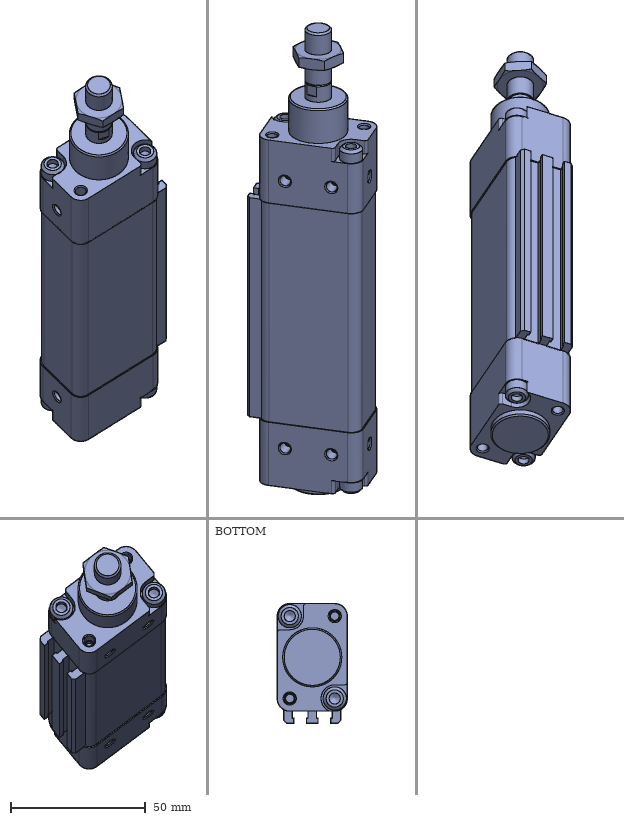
import cadquery as cq
import math


OVERALL_LENGTH = 187.5

CAP_WIDTH = 26.0
CAP_DEPTH = 40.0
CAP_HEIGHT = 26.0
CAP_CORNER_RADIUS = 4.7
TUBE_INSET = 0.47
TUBE_LENGTH = 90.4
BOSS_DIAMETER = 22.0
BOSS_CHAMFER = 0.5
REAR_BOSS_HEIGHT = 2.6
COLLAR_HEIGHT = 14.0

HEAD_DIAMETER = 8.6
HEAD_HEIGHT = 5.0
HEAD_CHAMFER = 1.1
SOCKET_DIAMETER = 4.1
SOCKET_DEPTH = 2.5
SOCKET_POINT_ANGLE = 118.0
NOTCH_RADIUS = 5.0
NOTCH_DEPTH = 5.5
NOTCH_EDGE_FILLET = 1.1

MOUNT_HOLE_DIAMETER = 4.0
PORT_DIAMETER = 4.1
HOLE_COUNTERSINK = 0.47
HOLE_DEPTH = 6.0
PILOT_DIAMETER = 3.2
PILOT_DEPTH = 8.5
PORT_TO_CAP_END = 16.1
SIDE_PORT_OFFSET = 9.0

RAIL_WIDTH = 21.2
RAIL_TOP_Y = 24.47
RAIL_CHAMFER = 1.1
SLOT_OFFSET = 4.5
SLOT_MOUTH_WIDTH = 4.7
SLOT_WIDTH = 5.8
SLOT_LIP = 1.9

ROD_DIAMETER = 10.0
ROD_TIP_CHAMFER = 0.8
THREAD_LENGTH = 21.4
SHOULDER_CHAMFER = 0.5
WRENCH_FLATS_WIDTH = 9.0
WRENCH_FLATS_HEIGHT = 4.1
WRENCH_FLATS_ANGLE = -15.0

NUT_ACROSS_FLATS = 17.0
NUT_HEIGHT = 4.5
NUT_TO_ROD_TIP = 8.8
NUT_CHAMFER_ANGLE = 15.0

TUBE_START = REAR_BOSS_HEIGHT + CAP_HEIGHT
TUBE_END = TUBE_START + TUBE_LENGTH
FRONT_CAP_END = TUBE_END + CAP_HEIGHT
COLLAR_END = FRONT_CAP_END + COLLAR_HEIGHT
SHOULDER_Z = OVERALL_LENGTH - THREAD_LENGTH
NUT_START = OVERALL_LENGTH - NUT_TO_ROD_TIP - NUT_HEIGHT

CORNER_X = CAP_WIDTH / 2 - CAP_CORNER_RADIUS
CORNER_Y = CAP_DEPTH / 2 - CAP_CORNER_RADIUS
SCREW_CENTRES = [(-CORNER_X, -CORNER_Y), (CORNER_X, CORNER_Y)]
MOUNT_CENTRES = [(-CORNER_X, CORNER_Y), (CORNER_X, -CORNER_Y)]


def rounded_bar(width, depth, corner_radius, height):
    """Upright bar on Z = 0 with rounded vertical edges."""
    bar = cq.Workplane("XY").rect(width, depth).extrude(height)
    return bar.edges("|Z").fillet(corner_radius)


def cylinder(diameter, z_start, height):
    return cq.Workplane("XY", origin=(0, 0, z_start)).circle(diameter / 2).extrude(height)


def stepped_hole(diameter):
    """Cutter that goes down from Z = 0: a countersunk blind hole with a narrower pilot at its bottom."""
    hole = cylinder(diameter, 0, -HOLE_DEPTH)
    pilot = cylinder(PILOT_DIAMETER, 0, -PILOT_DEPTH)
    countersink = cq.Workplane("XY").add(cq.Solid.makeCone(
        diameter / 2 + HOLE_COUNTERSINK, diameter / 2, HOLE_COUNTERSINK, dir=cq.Vector(0, 0, -1)
    ))
    return hole.union(pilot).union(countersink)


def notch_channel():
    """Cutter that opens a notch toward +X, with the screw axis at X = Y = 0.

    Its wall is tangent to the round part of the notch and flares into the cap side.
    """
    cap_side = CAP_CORNER_RADIUS
    flare = NOTCH_EDGE_FILLET
    flare_middle = flare * (1 - math.sqrt(0.5))
    return (
        cq.Workplane("XY")
        .lineTo(0, -NOTCH_RADIUS)
        .lineTo(cap_side - flare, -NOTCH_RADIUS)
        .threePointArc(
            (cap_side - flare_middle, -NOTCH_RADIUS - flare_middle),
            (cap_side, -NOTCH_RADIUS - flare),
        )
        .lineTo(cap_side, 0)
        .close()
        .extrude(-NOTCH_DEPTH)
    )


def rail_side_notch():
    """Cutter for the notch at the +X +Y corner: round, and opened toward +X only."""
    notch = cylinder(2 * NOTCH_RADIUS, 0, -NOTCH_DEPTH).union(notch_channel())
    return notch.translate((CORNER_X, CORNER_Y, 0))


def open_notch():
    """Cutter for the notch at the -X -Y corner: round, and opened toward both -X and -Y."""
    x_channel = notch_channel().rotate((0, 0, 0), (0, 0, 1), 180)
    y_channel = notch_channel().mirror("YZ").rotate((0, 0, 0), (0, 0, 1), 90)
    notch = cylinder(2 * NOTCH_RADIUS, 0, -NOTCH_DEPTH).union(x_channel).union(y_channel)
    return notch.translate((-CORNER_X, -CORNER_Y, 0))


def screw_head():
    """Round screw head standing on Z = 0, with a socket in its chamfered top."""
    socket_radius = SOCKET_DIAMETER / 2
    floor_z = HEAD_HEIGHT - SOCKET_DEPTH
    point_z = floor_z - socket_radius / math.tan(math.radians(SOCKET_POINT_ANGLE / 2))
    socket = (
        cq.Workplane("XZ")
        .polyline([(0, HEAD_HEIGHT), (socket_radius, HEAD_HEIGHT), (socket_radius, floor_z), (0, point_z)])
        .close()
        .revolve(360, (0, 0, 0), (0, 1, 0))
    )
    head = cylinder(HEAD_DIAMETER, 0, HEAD_HEIGHT).faces(">Z").chamfer(HEAD_CHAMFER)
    return head.cut(socket)


def end_cap():
    """Cap with its outer end face on Z = 0 and the rest below it."""
    cap = rounded_bar(CAP_WIDTH, CAP_DEPTH, CAP_CORNER_RADIUS, CAP_HEIGHT).translate((0, 0, -CAP_HEIGHT))
    cap = cap.cut(rail_side_notch()).cut(open_notch())
    for x, y in SCREW_CENTRES:
        cap = cap.union(screw_head().translate((x, y, -NOTCH_DEPTH)))
    for x, y in MOUNT_CENTRES:
        cap = cap.cut(stepped_hole(MOUNT_HOLE_DIAMETER).translate((x, y, 0)))

    front_port = stepped_hole(PORT_DIAMETER).rotate((0, 0, 0), (1, 0, 0), 90)
    cap = cap.cut(front_port.translate((0, -CAP_DEPTH / 2, -PORT_TO_CAP_END)))
    side_port = stepped_hole(PORT_DIAMETER).rotate((0, 0, 0), (0, 1, 0), -90)
    for y in (-SIDE_PORT_OFFSET, SIDE_PORT_OFFSET):
        cap = cap.cut(side_port.translate((-CAP_WIDTH / 2, y, -PORT_TO_CAP_END)))
    return cap


def bar_along_tube(width, x, y_start, y_end):
    """Rectangular bar as long as the tube, standing on Z = 0."""
    bar = cq.Workplane("XY").rect(width, y_end - y_start).extrude(TUBE_LENGTH)
    return bar.translate((x, (y_start + y_end) / 2, 0))


def tube_with_rail():
    """Tube standing on Z = 0, with the sensor rail and its T-slots on the +Y side."""
    tube = rounded_bar(
        CAP_WIDTH - 2 * TUBE_INSET,
        CAP_DEPTH - 2 * TUBE_INSET,
        CAP_CORNER_RADIUS - TUBE_INSET,
        TUBE_LENGTH,
    )
    slot_floor_y = CAP_DEPTH / 2 - TUBE_INSET
    rail = bar_along_tube(RAIL_WIDTH, 0, CORNER_Y, RAIL_TOP_Y)
    tube = tube.union(rail.edges("|Z and >Y").chamfer(RAIL_CHAMFER))
    for x in (-SLOT_OFFSET, SLOT_OFFSET):
        tube = tube.cut(bar_along_tube(SLOT_MOUTH_WIDTH, x, slot_floor_y, RAIL_TOP_Y))
        tube = tube.cut(bar_along_tube(SLOT_WIDTH, x, slot_floor_y, RAIL_TOP_Y - SLOT_LIP))
    return tube


def build_housing():
    rear_boss = cylinder(BOSS_DIAMETER, 0, REAR_BOSS_HEIGHT).faces("<Z").chamfer(BOSS_CHAMFER)
    collar = cylinder(BOSS_DIAMETER, FRONT_CAP_END, COLLAR_HEIGHT).faces(">Z").chamfer(BOSS_CHAMFER)
    body = tube_with_rail().translate((0, 0, TUBE_START))
    body = body.union(end_cap().translate((0, 0, FRONT_CAP_END)))
    body = body.union(end_cap().mirror("XY").translate((0, 0, REAR_BOSS_HEIGHT)))
    return body.union(rear_boss).union(collar)


def build_rod():
    """Rod standing on the collar: a plain length with two wrench flats, then the thread."""
    plain = cylinder(ROD_DIAMETER, COLLAR_END, SHOULDER_Z - COLLAR_END)
    plain = plain.faces(">Z").chamfer(SHOULDER_CHAMFER)
    flats_top = SHOULDER_Z - SHOULDER_CHAMFER
    flats_cutter = (
        cq.Workplane("XY", origin=(0, 0, flats_top - WRENCH_FLATS_HEIGHT))
        .rect(2 * ROD_DIAMETER, 2 * ROD_DIAMETER)
        .extrude(WRENCH_FLATS_HEIGHT)
        .cut(cq.Workplane("XY").box(WRENCH_FLATS_WIDTH, 2 * ROD_DIAMETER, 2 * OVERALL_LENGTH))
        .rotate((0, 0, 0), (0, 0, 1), WRENCH_FLATS_ANGLE)
    )
    thread = cylinder(ROD_DIAMETER, SHOULDER_Z, THREAD_LENGTH).faces(">Z").chamfer(ROD_TIP_CHAMFER)
    return plain.cut(flats_cutter).union(thread)


def build_nut():
    """Hexagon nut with two flats facing +X and -X, its corners turned to a cone at both ends."""
    across_corners = NUT_ACROSS_FLATS / math.cos(math.radians(30))
    corner_radius = across_corners / 2
    end_radius = NUT_ACROSS_FLATS / 2
    chamfer_height = (corner_radius - end_radius) * math.tan(math.radians(NUT_CHAMFER_ANGLE))
    hexagon = cq.Workplane("XY").polygon(6, across_corners).extrude(NUT_HEIGHT)
    hexagon = hexagon.rotate((0, 0, 0), (0, 0, 1), 90)
    turned_blank = (
        cq.Workplane("XZ")
        .polyline([
            (0, 0),
            (end_radius, 0),
            (corner_radius, chamfer_height),
            (corner_radius, NUT_HEIGHT - chamfer_height),
            (end_radius, NUT_HEIGHT),
            (0, NUT_HEIGHT),
        ])
        .close()
        .revolve(360, (0, 0, 0), (0, 1, 0))
    )
    nut = hexagon.intersect(turned_blank).cut(cylinder(ROD_DIAMETER, 0, NUT_HEIGHT))
    return nut.translate((0, 0, NUT_START))


housing = build_housing()
rod = build_rod()
nut = build_nut()
result = cq.Compound.makeCompound([housing.val(), rod.val(), nut.val()])